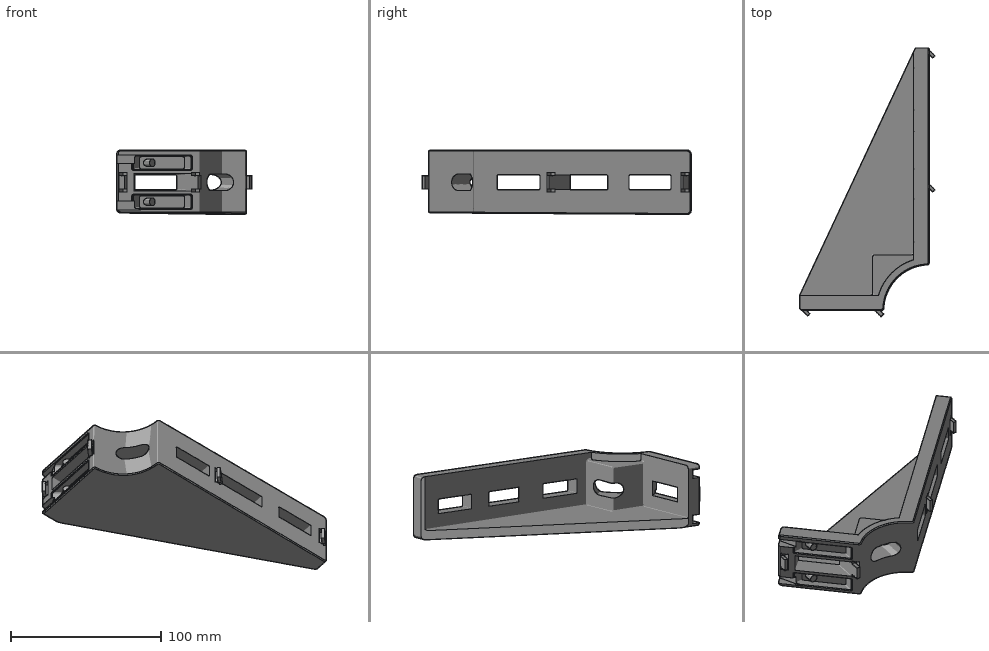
import cadquery as cq
import math

width = 86.3
length = 174.7
height = 43.0
side_arm_thickness = 10.4
front_arm_thickness = 10.0
base_rise = 1.0
web_thickness = 6.3
web_tip_y = 172.2
mid_z = 21.5

corner_radius = 30.3
corner_wall = 5.0
corner_edge_fillet = 1.5

end_fillet = 2.9
front_end_chamfer = 1.3
outer_edge_chamfer = 0.7
root_fillet = 1.3

block_x = 48.5
block_y = 36.9
block_top = 38.0
block_fillet = 1.6

bolt_slot_length = 23.0
bolt_slot_height = 11.8
bolt_slot_shift = 3.4
bolt_slot_taper = 1.5

lug_height = 9.0
lug_reach = 3.8
lug_thickness = 1.52
inner_lug_reach = 4.3
inner_lug_thickness = 1.8
groove_depth = 2.7
groove_height = 12.9
lug_end_offset = 1.6
front_lug_spacing = 48.3
side_lug_spacing = 89.1

slot_height = 9.8
slot_mouth_height = 11.8
slot_corner = 0.7
front_slot_start = 11.5
front_slot_draft = 0.7
side_slot_spans = [(45.6, 74.0), (133.4, 161.1)]
hook_slot_end = 119.0

recess_depth = 4.8
recess_start = 10.5
recess_length = 39.4
recess_height = 9.1
recess_draft = 0.5
recess_pitch = 26.0
recess_edge = 0.5
recess_corner = 0.9
peg_diameter = 5.2
peg_centre_x = 21.5
peg_rise = 4.1

notch_depth = 6.3
notch_run = 16.0
notch_height = 5.7
notch_offset = 15.4

margin = 35.8
clearance = 1.8
bevel_angle = 45
web_slope = (web_tip_y - front_arm_thickness) / (width - side_arm_thickness)
pocket_corners = "not(|X or |Z)"
recess_centres = [mid_z - recess_pitch / 2, mid_z + recess_pitch / 2]


def prism(points, z_low, z_high):
    """Upright prism over an XY polygon."""
    return cq.Workplane("XY").workplane(offset=z_low).polyline(points).close().extrude(z_high - z_low)


def below_base(lift):
    """Everything under the sloping base plane raised by lift."""
    fall = base_rise / length
    y_low, y_high = -margin, length + margin
    profile = [
        (y_low, -margin),
        (y_high, -margin),
        (y_high, lift + base_rise - fall * y_high),
        (y_low, lift + base_rise - fall * y_low),
    ]
    return cq.Workplane("YZ").polyline(profile).close().extrude(width + 2 * margin).translate((-margin, 0, 0))


def front_place(along, depth):
    """Point on the front arm: distance from its free end, depth below its outer face."""
    return (along, depth)


def side_place(along, depth):
    """Point on the side arm: distance from its far end, depth below its outer face."""
    return (width - depth, length - along)


def make_body():
    """Full outline of the bracket with its edges treated, before hollowing."""
    arc_mid = corner_radius * math.sqrt(0.5)
    body = (
        cq.Workplane("XY")
        .lineTo(width - corner_radius, 0)
        .threePointArc((width - arc_mid, arc_mid), (width, corner_radius))
        .lineTo(width, length)
        .lineTo((length - front_arm_thickness) / web_slope, length)
        .lineTo(0, front_arm_thickness)
        .close()
        .extrude(height)
    )
    body = body.cut(below_base(0))
    arc_ends = cq.selectors.BoxSelector(
        (width - corner_radius - clearance, -clearance, 0),
        (width + clearance, corner_radius + clearance, height),
    )
    body = body.edges("|Z").edges(arc_ends).fillet(corner_edge_fillet)
    body = body.faces("<Y").edges("<X").chamfer(front_end_chamfer)
    body = body.faces("<X").edges("not |Z").fillet(end_fillet)
    body = body.faces(">Y").edges("|X").fillet(end_fillet)
    return body.faces("<Y").edges("|X").chamfer(outer_edge_chamfer)


def make_block():
    """Filleted block in the inner corner, reaching under the arms and the corner wall."""
    block = cq.Workplane("XY").box(
        width - block_x, block_y, block_top, centered=False
    ).translate((block_x, 0, 0))
    block = block.edges("|Z and <X and >Y").fillet(block_fillet)
    return block.faces(">Z").edges("<X or >Y").fillet(block_fillet)


def make_cavity():
    """Open space between the arms, above the web."""
    inner_x = width - side_arm_thickness
    cavity = prism(
        [(-margin, front_arm_thickness), (inner_x, front_arm_thickness),
         (inner_x, length + margin), (-margin, length + margin)],
        0,
        height + margin,
    )
    wall = cq.Workplane("XY").center(width, 0).circle(corner_radius + corner_wall).extrude(height + margin)
    cavity = cavity.cut(below_base(web_thickness)).cut(make_block()).cut(wall)
    block_roots = cq.selectors.BoxSelector(
        (block_x - clearance, front_arm_thickness - clearance, 0),
        (inner_x + clearance, block_y + clearance, block_top),
    )
    cavity = cavity.edges("|Z").edges(block_roots).edges("<X or >Y").fillet(root_fillet)
    return cavity.faces("<Z").edges("not(<X or >Y)").fillet(root_fillet)


def make_bolt_slot():
    """Tapered slot running diagonally through the corner wall and the bolt block."""
    diagonal = cq.Plane(
        origin=(width, 0, mid_z), xDir=(1, 1, 0), normal=(-1, 1, 0)
    )
    return (
        cq.Workplane(diagonal)
        .workplane(offset=corner_radius / 2)
        .center(bolt_slot_shift, 0)
        .slot2D(bolt_slot_length, bolt_slot_height)
        .extrude(2 * margin, taper=bolt_slot_taper)
    )


def drafted_pocket(front, back, depth, heights, z_centre):
    """Pocket from the front face whose X span and height change with depth."""
    pocket = cq.Workplane("XZ")
    pocket = pocket.center((front[0] + front[1]) / 2, z_centre).rect(front[1] - front[0], heights[0])
    pocket = pocket.workplane(offset=-depth)
    pocket = pocket.center((back[0] + back[1] - front[0] - front[1]) / 2, 0)
    return pocket.rect(back[1] - back[0], heights[1]).loft(ruled=True)


def make_front_slot():
    """Slot through the front arm; its inner end is a ramp running out into a lug."""
    ramp_foot = lug_end_offset + front_lug_spacing
    slot = drafted_pocket(
        (front_slot_start, ramp_foot),
        (front_slot_start + front_slot_draft, ramp_foot - front_arm_thickness),
        front_arm_thickness,
        (slot_mouth_height, slot_height),
        mid_z,
    )
    return slot.edges(pocket_corners).fillet(slot_corner)


def make_side_slots():
    z_low, z_high = mid_z - slot_height / 2, mid_z + slot_height / 2
    outer_x = width + clearance
    inner_x = width - side_arm_thickness - clearance
    ramp_foot = length - lug_end_offset - side_lug_spacing
    slots = prism(
        [(outer_x, ramp_foot - clearance), (outer_x, hook_slot_end), (inner_x, hook_slot_end),
         (inner_x, ramp_foot + side_arm_thickness + clearance)],
        z_low,
        z_high,
    )
    for y_low, y_high in side_slot_spans:
        slots = slots.union(
            prism([(inner_x, y_low), (outer_x, y_low), (outer_x, y_high), (inner_x, y_high)], z_low, z_high)
        )
    return slots.edges("|X").fillet(slot_corner)


def make_recess(z_centre):
    """Shallow recess with 45 degree ends and rounded corners."""
    recess_end = recess_start + recess_length
    recess = drafted_pocket(
        (recess_start, recess_end),
        (recess_start + recess_depth, recess_end - recess_depth),
        recess_depth,
        (recess_height, recess_height - 2 * recess_draft),
        z_centre,
    )
    return recess.edges(pocket_corners).fillet(recess_corner)


def make_recess_bevel(z_centre):
    """Bevel around the mouth of a recess."""
    mouth = (
        cq.Sketch()
        .rect(recess_length + 2 * recess_edge, recess_height + 2 * recess_edge)
        .vertices()
        .fillet(recess_corner + recess_edge)
    )
    face = cq.Plane(
        origin=(recess_start + recess_length / 2, 0, z_centre), xDir=(1, 0, 0), normal=(0, 1, 0)
    )
    return cq.Workplane(face).placeSketch(mouth).extrude(recess_edge, taper=bevel_angle)


def make_peg(z_centre):
    """Round peg leaning 45 degrees out of the recess floor, ending square to its axis."""
    axis = cq.Plane(origin=(peg_centre_x, recess_depth, z_centre), xDir=(0, 0, 1), normal=(1, -1, 0))
    radius = peg_diameter / 2
    root = 1.5 * radius
    tip = peg_rise * math.sqrt(2) - radius
    return cq.Workplane(axis).workplane(offset=-root).circle(radius).extrude(tip + root)


def make_notch(z_centre):
    """Cut below a ramp rising from the arm's free end to its outer face."""
    ramp_start = notch_depth * (1 + clearance / notch_run)
    return prism(
        [(-clearance, -clearance), (-clearance, ramp_start), (notch_run, 0), (notch_run, -clearance)],
        z_centre - notch_height / 2,
        z_centre + notch_height / 2,
    )


def make_groove(place, start):
    """V groove beside a lug."""
    points = [(start, 0), (start + groove_depth, groove_depth), (start + 2 * groove_depth, 0)]
    return prism(
        [place(*point) for point in points], mid_z - groove_height / 2, mid_z + groove_height / 2
    )


def make_lug(place, start, reach, thickness):
    """Lug leaning at 45 degrees out of an arm's outer face, rooted in the arm."""
    points = [
        (start, 0),
        (start + reach, -reach),
        (start + reach + thickness, thickness - reach),
        (start + thickness, thickness),
        (start, 2 * thickness),
    ]
    return prism(
        [place(*point) for point in points], mid_z - lug_height / 2, mid_z + lug_height / 2
    )


lugs = [
    (front_place, lug_end_offset, lug_reach, lug_thickness),
    (front_place, lug_end_offset + front_lug_spacing, inner_lug_reach, inner_lug_thickness),
    (side_place, lug_end_offset, lug_reach, lug_thickness),
    (side_place, lug_end_offset + side_lug_spacing, lug_reach, lug_thickness),
]

result = make_body().cut(make_cavity())
result = result.cut(make_bolt_slot()).cut(make_front_slot()).cut(make_side_slots())
for centre in recess_centres:
    result = result.cut(make_recess(centre)).cut(make_recess_bevel(centre)).union(make_peg(centre))
for side in (-1, 1):
    result = result.cut(make_notch(mid_z + side * notch_offset))
for place, start, reach, thickness in lugs:
    result = result.cut(make_groove(place, start)).union(make_lug(place, start, reach, thickness))